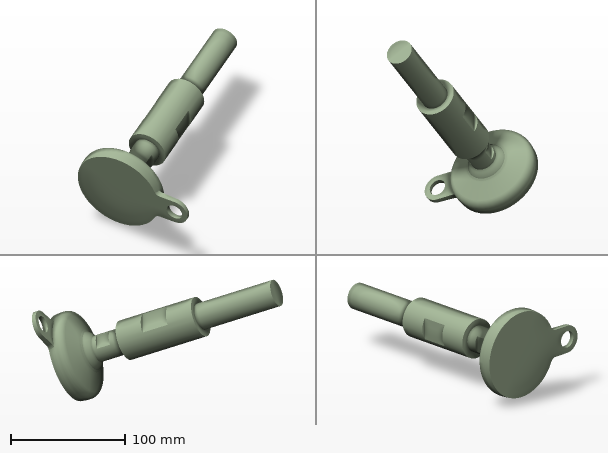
import cadquery as cq
import math


base_radius = 40.0
underside_radius = 39.5
lower_band_height = 5.5
upper_band_height = 8.9
shoulder_radius = 7.0
shoulder_slope = math.radians(22.5)

rim_outer_radius = 19.5
rim_height = 23.1
socket_floor = 4.1

lug_center_x = 55.3
lug_radius = 12.5
lug_hole_diameter = 15.0
lug_tip_thickness = 3.7
lug_root_thickness = lower_band_height
lug_root_x = 38.2
lug_neck_fillet = 5.2
lug_inner_x = 20.6

total_length = 206.5
stem_radius = 12.0
stem_start = 29.0
collar_radius = 18.0
collar_start = 56.2
collar_length = 75.0

ball_radius = 21.0
ball_center_y = stem_start - math.sqrt(ball_radius**2 - stem_radius**2)

collar_flat_offset = 15.0
collar_flat_length = collar_length / 3
collar_flat_start = collar_start + collar_flat_length
stem_flat_offset = 9.5
stem_flat_start = 33.2
stem_flat_length = 12.8


def ball_outline():
    """Half outline of the ball: up from the flat bottom, ending where the stem begins."""
    bottom_radius = math.sqrt(ball_radius**2 - (ball_center_y - socket_floor) ** 2)
    return (
        cq.Workplane("XY")
        .moveTo(0, socket_floor)
        .lineTo(bottom_radius, socket_floor)
        .threePointArc((ball_radius, ball_center_y), (stem_radius, stem_start))
    )


def revolve_about_axis(outline):
    """Revolve a half outline in the XY plane about the Y axis."""
    return outline.close().revolve(360, (0, 0, 0), (0, 1, 0))


def make_disc():
    """Revolved base disc with a rounded shoulder and a conical top."""
    arc_center_x = base_radius - shoulder_radius

    def shoulder_point(angle):
        return (
            arc_center_x + shoulder_radius * math.cos(angle),
            upper_band_height + shoulder_radius * math.sin(angle),
        )

    arc_end_angle = math.pi / 2 - shoulder_slope
    arc_end = shoulder_point(arc_end_angle)
    cone_top = arc_end[1] + (arc_end[0] - rim_outer_radius) * math.tan(shoulder_slope)
    rim_inner_radius = math.sqrt(ball_radius**2 - (rim_height - ball_center_y) ** 2)
    outline = (
        cq.Workplane("XY")
        .moveTo(0, 0)
        .lineTo(underside_radius, 0)
        .lineTo(base_radius, lower_band_height)
        .lineTo(base_radius, upper_band_height)
        .threePointArc(shoulder_point(arc_end_angle / 2), arc_end)
        .lineTo(rim_outer_radius, cone_top)
        .lineTo(rim_inner_radius, rim_height)
        .lineTo(0, rim_height)
    )
    return revolve_about_axis(outline)


def make_lug():
    """Tapered lug whose neck blends into the disc with concave fillets."""
    fillet_z = lug_radius + lug_neck_fillet
    center_distance = underside_radius + lug_neck_fillet
    fillet_x = math.sqrt(center_distance**2 - fillet_z**2)
    touch_x = fillet_x * underside_radius / center_distance
    touch_z = fillet_z * underside_radius / center_distance
    mid_angle = (math.atan2(-fillet_z, -fillet_x) - math.pi / 2) / 2
    mid_x = fillet_x + lug_neck_fillet * math.cos(mid_angle)
    mid_z = fillet_z + lug_neck_fillet * math.sin(mid_angle)
    tip_x = lug_center_x + lug_radius
    outline = (
        cq.Workplane("XZ")
        .moveTo(lug_inner_x, touch_z)
        .lineTo(touch_x, touch_z)
        .threePointArc((mid_x, mid_z), (fillet_x, lug_radius))
        .lineTo(lug_center_x, lug_radius)
        .threePointArc((tip_x, 0), (lug_center_x, -lug_radius))
        .lineTo(fillet_x, -lug_radius)
        .threePointArc((mid_x, -mid_z), (touch_x, -touch_z))
        .lineTo(lug_inner_x, -touch_z)
        .close()
        .extrude(-lug_root_thickness)
    )
    taper = (
        cq.Workplane("XY")
        .polyline([
            (lug_inner_x, 0),
            (tip_x, 0),
            (tip_x, lug_tip_thickness),
            (lug_root_x, lug_root_thickness),
            (lug_inner_x, lug_root_thickness),
        ])
        .close()
        .extrude(base_radius, both=True)
    )
    hole = (
        cq.Workplane("XZ")
        .center(lug_center_x, 0)
        .circle(lug_hole_diameter / 2)
        .extrude(-lug_root_thickness)
    )
    return outline.intersect(taper).cut(hole)


def make_base():
    """Base disc with its lug and a socket that matches the ball."""
    ball = revolve_about_axis(ball_outline().lineTo(0, stem_start))
    return make_disc().union(make_lug()).cut(ball)


def cut_flats(body, offset, start, length):
    """Cut two opposite wrench flats facing -X and +X."""
    depth = collar_radius
    for side in (-1, 1):
        cutter = cq.Workplane("XY").box(depth, length, 2 * collar_radius)
        body = body.cut(cutter.translate((side * (offset + depth / 2), start + length / 2, 0)))
    return body


def make_spindle():
    """Stem with a ball end, a thicker collar and two pairs of wrench flats."""
    collar_end = collar_start + collar_length
    outline = (
        ball_outline()
        .lineTo(stem_radius, collar_start)
        .lineTo(collar_radius, collar_start)
        .lineTo(collar_radius, collar_end)
        .lineTo(stem_radius, collar_end)
        .lineTo(stem_radius, total_length)
        .lineTo(0, total_length)
    )
    spindle = revolve_about_axis(outline)
    spindle = cut_flats(spindle, collar_flat_offset, collar_flat_start, collar_flat_length)
    return cut_flats(spindle, stem_flat_offset, stem_flat_start, stem_flat_length)


base = make_base()
spindle = make_spindle()
result = cq.Compound.makeCompound([base.solids().val(), spindle.solids().val()])